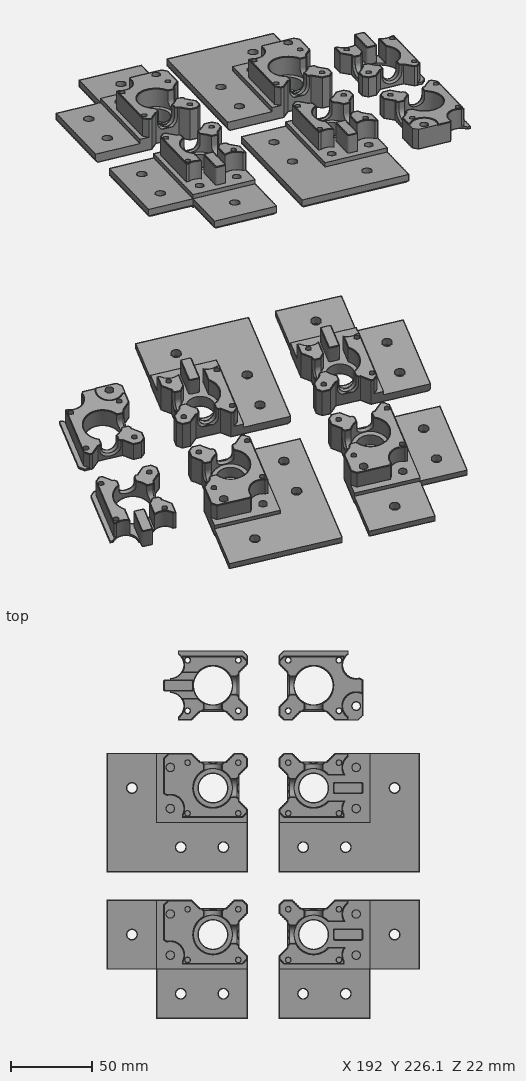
import cadquery as cq

half_square = 21.2
trimmed_side = 18.0
arm_reach = 30.3
corner_chamfer = 3.0
arm_chamfer = 2.0
top_chamfer = 0.5
bearing_diameter = 24.0
motor_hole_diameter = 3.5
motor_hole_offset = 15.5

screw_x = -26.2
screw_y = 12.7
screw_hole_diameter = 5.2
relief_radius = 8.4
relief_tip_x = -18.8

notch_floor = 16.0
notch_half_width = 8.0
slot_radius = 5.5
slot_flare = 1.4

channel_half_width = 8.0
finger_width = 7.0
finger_inner_end = 12.2
finger_corner_radius = 1.1

base_height = 22.0
plate_thickness = 6.0
pad_top = 9.0
plate_chamfer = 1.5
plate_outer = -65.0
plate_depth = 72.8
pad_outer = -34.5
shaft_hole_diameter = 18.0
mount_hole_diameter = 6.3
mount_hole_spacing = 26.2
base_slot_height = 15.0
blind_hole_floor = 2.3

clamp_height = 14.0
flange_thickness = 1.5
clamp_slot_height = 9.0

bearing_x = 31.0
clamp_y = 91.8
large_base_y = 28.7
small_base_y = -61.5

plate_front = half_square - plate_depth
motor_hole_points = [(x, y) for x in (-motor_hole_offset, motor_hole_offset)
                     for y in (-motor_hole_offset, motor_hole_offset)]
screw_points = [(screw_x, -screw_y), (screw_x, screw_y)]
pad_middle_x = (pad_outer + half_square) / 2
mount_hole_points = [
    ((plate_outer + pad_outer) / 2, 0),
    (pad_middle_x - mount_hole_spacing / 2, (plate_front - half_square) / 2),
    (pad_middle_x + mount_hole_spacing / 2, (plate_front - half_square) / 2),
]


def slab(x_min, x_max, y_min, y_max, z_min, z_max):
    """Axis-aligned box given by its limits."""
    size = (x_max - x_min, y_max - y_min, z_max - z_min)
    return cq.Workplane("XY").box(*size, centered=False).translate((x_min, y_min, z_min))


def cylinders(points, diameter, z_min, z_max):
    """Upright cylinders at the given points."""
    plane = cq.Workplane("XY").workplane(offset=z_min)
    return plane.pushPoints(points).circle(diameter / 2).extrude(z_max - z_min)


def v_notch(z_min, z_max):
    """V notch cutter for the +X side."""
    notch_outer = notch_half_width + half_square - notch_floor
    return (
        cq.Workplane("XY").workplane(offset=z_min)
        .polyline([(notch_floor, -notch_half_width), (half_square, -notch_outer),
                   (half_square, notch_outer), (notch_floor, notch_half_width)]).close()
        .extrude(z_max - z_min)
    )


def turn_to_y(cutter):
    """Copy of a +X side cutter, turned to the +Y side."""
    return cutter.rotate((0, 0, 0), (0, 0, 1), 90)


def flared_slot(z_max, slot_height):
    """Cutter for the +X side: round-bottomed slot into the bore, flared at its mouth."""
    slot = slot_cutter(slot_radius, slot_height, z_max, notch_floor)
    mouth = slot_cutter(slot_radius + slot_flare, slot_height, z_max, slot_flare, taper=45)
    return slot.union(mouth)


def slot_cutter(radius, axis_height, z_max, length, taper=0):
    """Slot open at the top, running inwards from the notch floor towards the axis."""
    profile = (
        cq.Workplane("YZ", origin=(notch_floor, 0, 0))
        .moveTo(-radius, 2 * z_max).lineTo(-radius, axis_height)
        .threePointArc((0, axis_height - radius), (radius, axis_height))
        .lineTo(radius, 2 * z_max).close()
    )
    return profile.extrude(-length, taper=taper)


def square_block(z_min, z_max):
    """Square block with one trimmed side and chamfered inner corners."""
    block = slab(-half_square, half_square, -trimmed_side, half_square, z_min, z_max)
    return block.edges("|Z and >X").chamfer(corner_chamfer)


def arm(y_min, y_max, z_min, z_max):
    """Stretch of block that reaches out to the end of the arm."""
    return slab(-arm_reach, -half_square, y_min, y_max, z_min, z_max)


def bevel_arm_corners(block, y_signs):
    """Bevel the arm corners where the screw reliefs run out."""
    half_chord = (relief_radius**2 - (arm_reach + screw_x)**2) ** 0.5
    for sign in y_signs:
        corner = (-arm_reach, sign * (screw_y - half_chord), pad_top)
        block = block.edges(cq.selectors.NearestToPointSelector(corner)).chamfer(arm_chamfer)
    return block


def open_block(block, z_min, z_max, slot_height):
    """Cut the bearing bore and both side openings, then bevel the top edges."""
    opening = v_notch(z_min, z_max).union(flared_slot(z_max, slot_height))
    block = block.cut(cylinders([(0, 0)], bearing_diameter, z_min, z_max))
    block = block.cut(opening).cut(turn_to_y(opening))
    block = block.cut(slab(-half_square, relief_tip_x, -trimmed_side, -motor_hole_offset, z_min, z_max))
    return block.faces(">Z").edges().chamfer(top_chamfer)


def lever_finger(z_min, z_max):
    """Upright finger standing in the lever channel."""
    finger = slab(-arm_reach, -finger_inner_end, -finger_width / 2, finger_width / 2, z_min, z_max)
    finger = finger.edges("|Z").fillet(finger_corner_radius)
    return finger.faces(">Z").edges().chamfer(top_chamfer)


def channel_block(z_min, z_max, slot_height):
    """Bearing block split by the lever channel, with a relief at both screws."""
    block = square_block(z_min, z_max)
    block = block.cut(cylinders(screw_points, 2 * relief_radius, z_min, z_max))
    channel = slab(-half_square, 0, -channel_half_width, channel_half_width, z_min, z_max)
    return open_block(block.cut(channel), z_min, z_max, slot_height)


def base_plate(full_corner):
    """Plate with the raised pad; without the full corner it is two wings around the pad."""
    wing_front = plate_front if full_corner else -half_square
    plate = slab(plate_outer, half_square, wing_front, half_square, 0, plate_thickness)
    plate = plate.union(slab(pad_outer, half_square, plate_front, half_square, 0, plate_thickness))
    plate = plate.clean().faces("<Z").edges("not >X").chamfer(plate_chamfer)
    plate = plate.union(slab(pad_outer, half_square, -half_square, half_square, 0, pad_top))
    notch = v_notch(0, pad_top)
    plate = plate.cut(notch).cut(turn_to_y(notch))
    return plate.edges("|Z and >X and >Y").chamfer(corner_chamfer)


def solid_base_block():
    """Block whose arm carries one screw hole and is relieved around the other."""
    block = square_block(pad_top, base_height)
    block = block.union(arm(-trimmed_side, half_square, pad_top, base_height)).clean()
    block = block.edges("|Z and <X and >Y").chamfer(corner_chamfer)
    block = block.cut(cylinders(screw_points[:1], 2 * relief_radius, pad_top, base_height))
    block = bevel_arm_corners(block, [-1])
    return open_block(block, pad_top, base_height, base_slot_height)


def channel_base_block():
    """Block with the lever channel and its finger."""
    block = channel_block(pad_top, base_height, base_slot_height)
    return block.union(lever_finger(pad_top, base_height))


def drive_base(block, full_corner):
    """Plate, pad and bearing block in one body, with all its holes."""
    base = base_plate(full_corner).union(block)
    base = base.cut(cylinders([(0, 0)], shaft_hole_diameter, 0, pad_top))
    base = base.cut(cylinders(mount_hole_points, mount_hole_diameter, 0, plate_thickness))
    base = base.cut(cylinders(motor_hole_points, motor_hole_diameter, blind_hole_floor, base_height))
    return base.cut(cylinders(screw_points, screw_hole_diameter, blind_hole_floor, base_height))


def clamp_flange():
    """Thin lip under the trimmed side, relieved around the screw."""
    flange = slab(-half_square, half_square, -half_square, 0, 0, flange_thickness)
    flange = flange.edges("|Z and >X and <Y").chamfer(corner_chamfer)
    flange = flange.intersect(slab(-half_square, half_square, -half_square, -motor_hole_offset,
                                   0, flange_thickness))
    return flange.cut(cylinders(screw_points[:1], 2 * relief_radius, 0, flange_thickness))


def finish_clamp(block):
    """Add the flange, drill the motor holes and turn the clamp over in Y."""
    clamp = block.union(clamp_flange())
    clamp = clamp.cut(cylinders(motor_hole_points, motor_hole_diameter, 0, clamp_height))
    return clamp.mirror("XZ")


def channel_clamp():
    """Clamp with a thin-floored lever channel and its finger."""
    floor = slab(screw_x, 0, -channel_half_width, channel_half_width, 0, flange_thickness)
    floor = floor.cut(cylinders(screw_points, 2 * relief_radius, 0, flange_thickness))
    floor = floor.cut(cylinders([(0, 0)], bearing_diameter, 0, flange_thickness))
    block = channel_block(0, clamp_height, clamp_slot_height)
    return finish_clamp(block.union(floor).union(lever_finger(0, clamp_height)))


def solid_clamp():
    """Clamp with a solid arm and a screw boss set into one relief."""
    block = square_block(0, clamp_height).union(arm(-screw_y, screw_y, 0, clamp_height)).clean()
    block = block.cut(cylinders(screw_points, 2 * relief_radius, 0, clamp_height))
    boss = arm(0, half_square, 0, clamp_height).edges("|Z and <X and >Y").chamfer(corner_chamfer)
    relief = cylinders(screw_points[1:], 2 * relief_radius, 0, clamp_height)
    relief = relief.intersect(slab(-half_square, 0, 0, half_square, 0, clamp_height))
    boss = boss.union(relief).cut(block)
    boss = boss.cut(cylinders(screw_points[1:], screw_hole_diameter, 0, clamp_height))
    block = bevel_arm_corners(block, [-1])
    block = open_block(block, 0, clamp_height, clamp_slot_height)
    return finish_clamp(block.union(boss))


def place_left(body, y):
    return body.translate((-bearing_x, y, 0))


def place_right(body, y):
    return body.mirror("YZ").translate((bearing_x, y, 0))


left_clamp = place_left(channel_clamp(), clamp_y)
right_clamp = place_right(solid_clamp(), clamp_y)

bases = []
for base_y, full_corner in ((large_base_y, True), (small_base_y, False)):
    bases.append(place_left(drive_base(solid_base_block(), full_corner), base_y))
    bases.append(place_right(drive_base(channel_base_block(), full_corner), base_y))

result = cq.Compound.makeCompound(
    [left_clamp.val(), right_clamp.val()] + [base.val() for base in bases]
)